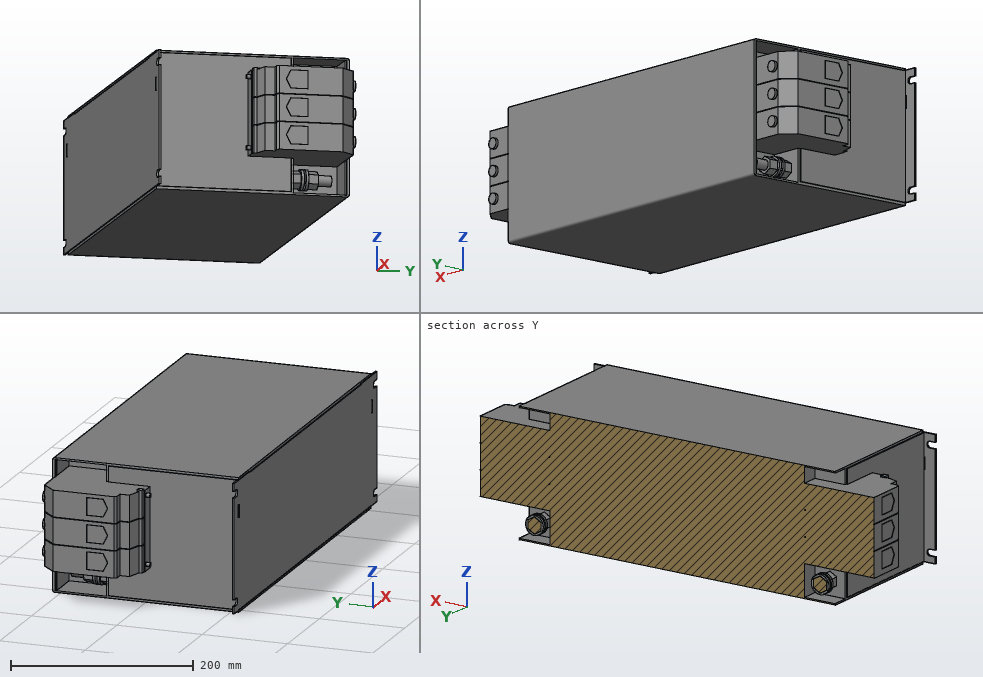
import cadquery as cq


housing_length = 416.5
housing_depth = 219.0
housing_height = 155.0
bend_radius = 3.0
half_length = housing_length / 2

plate_length = 450.0
plate_top = 75.5
plate_bottom = -74.5
plate_thickness = 2.0
mount_slot_width = 8.0
mount_slot_depth = 11.0
mount_slot_spacing = 124.5
relief_length = 352.0
relief_height = 1.0
engraving_depth = plate_thickness / 2
mark_width = 1.5
mark_height = 14.5
mark_z = 39.5
mark_spacing = 420.0

panel_thickness = 1.5
panel_top = 75.0
panel_bottom = -74.5
panel_back = 153.0
recess_front = 156.0
recess_depth = 40.0
recess_height = 150.5
back_wall = 4.5
rim_depth = 2.0
rim_wall = 3.0

overall_length = 519.5
terminal_out = overall_length / 2
recess_floor = half_length - recess_depth
terminal_back = 215.0
pole_count = 3
pole_pitch = 31.0
terminal_height = pole_count * pole_pitch
terminal_bottom = -37.0
terminal_top = terminal_bottom + terminal_height
terminal_front = 104.5
terminal_chamfer = 15.5
face_front = 128.0
lip_front = 125.0
shoulder_front = 114.5
shoulder_inset = 11.5
slope_inset = 28.0
slope_front = 109.0
rail_width = 6.0
rail_front = 105.5
rail_depth = 6.0
rail_rise = 1.5
joint_size = 0.5

entry_height = 20.5
entry_rise = 1.0
entry_back = 160.0
entry_shoulder = 141.0
entry_tip = 135.5
entry_depth = 0.5
screw_diameter = 12.5
screw_inset = 23.5
screw_end = 218.0
pin_diameter = 4.5
pin_inset = 39.0
pin_front = 100.0
pin_heights = (50.0, -29.5)

stud_diameter = 12.0
stud_x = half_length - recess_depth / 2
stud_z = -57.0
stud_end = 202.5
nut_diameter = 20.5
nut_turn = 30
inner_nut_end = 167.5
outer_nut_start = 175.5
outer_nut_end = 187.0
washer_diameter = 23.5
washer_thickness = 3.0
washer_starts = (inner_nut_end, outer_nut_start - washer_thickness)


def block(x0, x1, y0, y1, z0, z1):
    """Box between two opposite corners."""
    return cq.Workplane("XY").box(x1 - x0, y1 - y0, z1 - z0, centered=False).translate((x0, y0, z0))


def plane_at_y(x, y, z):
    """Work plane whose normal points to the back."""
    return cq.Workplane(cq.Plane((x, y, z), xDir=(1, 0, 0), normal=(0, 1, 0)))


def rod(x, z, y0, y1, diameter):
    """Cylinder along Y."""
    return plane_at_y(x, y0, z).circle(diameter / 2).extrude(y1 - y0)


def hex_nut(x, z, y0, y1):
    """Hexagonal nut along Y with corners at top and bottom."""
    nut = plane_at_y(x, y0, z).polygon(6, nut_diameter).extrude(y1 - y0)
    return nut.rotate((x, 0, z), (x, 1, z), nut_turn)


def make_housing():
    """Rectangular body, starting inside the front plate, with rounded back edges."""
    half_height = housing_height / 2
    body = block(-half_length, half_length, engraving_depth, housing_depth, -half_height, half_height)
    return body.edges("|X and >Y").fillet(bend_radius)


def make_front_plate():
    """Plate wider than the housing, with open mounting slots at its four corners."""
    plate = block(-plate_length / 2, plate_length / 2, 0, plate_thickness, plate_bottom, plate_top)
    slot_length = 2 * mount_slot_depth
    slots = (
        cq.Workplane("XZ")
        .rarray(plate_length, mount_slot_spacing, 2, 2)
        .slot2D(slot_length, mount_slot_width)
        .extrude(-plate_thickness)
    )
    return plate.cut(slots)


def cut_front_details(body):
    """Relief along the top edge of the front plate and two narrow marks."""
    relief = block(
        -relief_length / 2, relief_length / 2, 0, engraving_depth, plate_top - relief_height, plate_top
    )
    marks = (
        cq.Workplane("XZ")
        .center(0, mark_z)
        .rarray(mark_spacing, 5, 2, 1)
        .rect(mark_width, mark_height)
        .extrude(-engraving_depth)
    )
    return body.cut(relief).cut(marks)


def make_end_panel():
    """Thin panel on the end face in front of the recess."""
    return block(half_length, half_length + panel_thickness, 0, panel_back, panel_bottom, panel_top)


def make_recess():
    """Recess with a slightly larger rim along its back edge."""
    half_height = recess_height / 2
    pocket = block(
        recess_floor, half_length, recess_front, housing_depth - back_wall, -half_height, half_height
    )
    rim = block(
        half_length - rim_depth,
        half_length,
        recess_front,
        housing_depth - rim_wall,
        -half_height,
        half_height,
    )
    return pocket.union(rim)


def make_wire_entry(z):
    """Shallow five-sided opening that tapers toward the front."""
    half = entry_height / 2
    outline = [
        (entry_back, z - half),
        (entry_shoulder, z - half),
        (entry_tip, z),
        (entry_shoulder, z + half),
        (entry_back, z + half),
    ]
    floor = cq.Workplane("YZ", origin=(terminal_out - entry_depth, 0, 0))
    return floor.polyline(outline).close().extrude(entry_depth)


def terminal_outline(bottom):
    """Closed outline of a terminal block, from the recess floor outward."""
    shoulder_x = terminal_out - shoulder_inset
    slope_x = terminal_out - slope_inset
    rail_x = slope_x - rail_width
    return (
        cq.Workplane("XY", origin=(0, 0, bottom))
        .moveTo(recess_floor, terminal_back)
        .lineTo(terminal_out - terminal_chamfer, terminal_back)
        .lineTo(terminal_out, terminal_back - terminal_chamfer)
        .lineTo(terminal_out, face_front)
        .lineTo(terminal_out - (face_front - lip_front), lip_front)
        .lineTo(shoulder_x, lip_front)
        .lineTo(shoulder_x, shoulder_front)
        .lineTo(slope_x, slope_front)
        .lineTo(slope_x, rail_front)
        .lineTo(rail_x, rail_front)
        .lineTo(rail_x, terminal_front)
        .lineTo(recess_floor, terminal_front)
        .close()
    )


def make_joint(z):
    """Fine groove around a terminal block where two poles meet, leaving its plain front flat uncut."""
    bottom = z - joint_size / 2
    core = terminal_outline(bottom).offset2D(-joint_size).extrude(joint_size)
    rail_x = terminal_out - slope_inset - rail_width
    flat = block(recess_floor, rail_x, terminal_front, rail_front, bottom, bottom + joint_size)
    return terminal_outline(bottom).extrude(joint_size).cut(core).cut(flat)


def make_terminal():
    """Three-pole terminal block with rail, wire entries, clamp screws and pins."""
    slope_x = terminal_out - slope_inset
    terminal = terminal_outline(terminal_bottom).extrude(terminal_height)
    rail = block(
        slope_x - rail_width,
        slope_x,
        rail_front,
        rail_front + rail_depth,
        terminal_top,
        terminal_top + rail_rise,
    )
    terminal = terminal.union(rail)
    for joint in range(1, pole_count):
        terminal = terminal.cut(make_joint(terminal_bottom + joint * pole_pitch))
    for pole in range(pole_count):
        pole_z = terminal_bottom + (pole + 0.5) * pole_pitch
        terminal = terminal.cut(make_wire_entry(pole_z + entry_rise))
        screw = rod(terminal_out - screw_inset, pole_z, terminal_back, screw_end, screw_diameter)
        terminal = terminal.union(screw)
    for pin_z in pin_heights:
        terminal = terminal.union(
            rod(terminal_out - pin_inset, pin_z, pin_front, terminal_front, pin_diameter)
        )
    return terminal


def make_earth_stud():
    """Stud on the recess wall with two nuts and two washers."""
    stud = rod(stud_x, stud_z, recess_front, stud_end, stud_diameter)
    stud = stud.union(hex_nut(stud_x, stud_z, recess_front, inner_nut_end))
    stud = stud.union(hex_nut(stud_x, stud_z, outer_nut_start, outer_nut_end))
    for start in washer_starts:
        stud = stud.union(rod(stud_x, stud_z, start, start + washer_thickness, washer_diameter))
    return stud


def both_ends(shape):
    """The shape at the +X end together with its mirror image at the -X end."""
    return shape.union(shape.mirror("YZ"))


result = make_housing().union(make_front_plate()).union(both_ends(make_end_panel()))
result = result.cut(both_ends(make_recess()))
result = cut_front_details(result)
result = result.union(both_ends(make_terminal())).union(both_ends(make_earth_stud()))